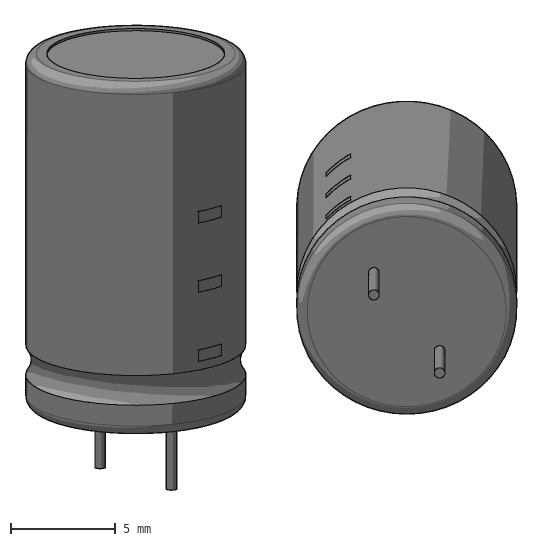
import cadquery as cq

can_radius = 5.25
total_height = 21.1
pin_length = 3.6
rim_radius = 0.5
groove_bottom = 5.15
groove_top = 6.63
groove_depth = 0.25
groove_middle = (groove_bottom + groove_top) / 2

disc_radius = 4.25
disc_drop = 0.1
disc_thickness = 0.1

pin_radius = 0.25
pin_pitch = 5.0

dash_count = 3
dash_height = 0.57
dash_width = 1.5
dash_pitch = 3.44
dash_middle = 10.78
dash_depth = 0.1


def disc_between(radius, bottom, top):
    """Upright cylinder on the can axis."""
    return cq.Workplane("XY").workplane(offset=bottom).circle(radius).extrude(top - bottom)


def make_can_blank():
    """Solid of revolution with rounded ends and a crimp groove."""
    rim = can_radius - rim_radius
    profile = (
        cq.Workplane("XZ")
        .moveTo(0, pin_length)
        .lineTo(rim, pin_length)
        .radiusArc((can_radius, pin_length + rim_radius), -rim_radius)
        .lineTo(can_radius, groove_bottom)
        .threePointArc((can_radius - groove_depth, groove_middle), (can_radius, groove_top))
        .lineTo(can_radius, total_height - rim_radius)
        .radiusArc((rim, total_height), -rim_radius)
        .lineTo(0, total_height)
        .close()
    )
    return profile.revolve(360, (0, 0), (0, 1))


def make_dash(height):
    """Curved bar in the +X wall, its outer face flush with the can surface."""
    bottom = height - dash_height / 2
    top = height + dash_height / 2
    shell = disc_between(can_radius, bottom, top).cut(
        disc_between(can_radius - dash_depth, bottom, top)
    )
    window = cq.Workplane("XY").box(can_radius, dash_width, dash_height)
    return shell.intersect(window.translate((can_radius, 0, height)))


def make_pin(x):
    """Straight round lead ending at the underside of the can."""
    return cq.Workplane("XY").center(x, 0).circle(pin_radius).extrude(pin_length)


dash_heights = [dash_middle + (i - (dash_count - 1) / 2) * dash_pitch for i in range(dash_count)]

disc_top = total_height - disc_drop
disc_bottom = disc_top - disc_thickness
top_disc = disc_between(disc_radius, disc_bottom, disc_top)

can = make_can_blank().cut(disc_between(disc_radius, disc_bottom, total_height))
for height in dash_heights:
    can = can.cut(make_dash(height))

dashes = [make_dash(height) for height in dash_heights]
pins = [make_pin(side * pin_pitch / 2) for side in (-1, 1)]

result = cq.Compound.makeCompound(
    [can.val(), top_disc.val(), *[dash.val() for dash in dashes], *[pin.val() for pin in pins]]
)